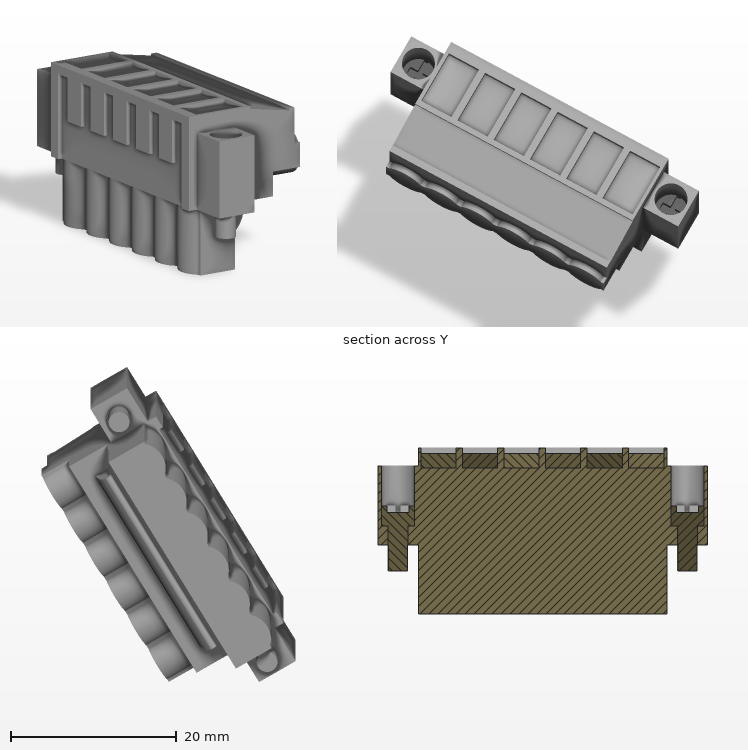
import cadquery as cq


poles = 6
pole_pitch = 4.98
total_length = 39.8
body_length = 30.1
half_body = body_length / 2
body_height = 11.8
overlap = 0.4

ridge_y = 8.9
slope_top_z = 11.45
slope_end_y = 14.5
slope_end_z = 10.43
lip_top_z = 10.65
rear_wall_y = 15.32
entry_rear_y = 16.1
entry_top_z = 6.2
entry_bottom_z = 3.1
entry_front_y = 12.2

bulge_width = 4.4
entry_bulge_rise = 1.2
socket_bulge_rise = 0.95

plug_height = 8.3
plug_front_y = 1.67
plug_rear_y = 6.7
rib_rise = 0.1
rib_height = 1.9

latch_length = (poles - 1) * pole_pitch
latch_root_front_y = 8.08
latch_root_rear_y = 10.2
latch_neck_y = 8.48
latch_neck_top_z = -1.2
latch_neck_bottom_z = -2.85
latch_back_bend = (9.6, -2.4)
latch_back_middle = (9.27, -3.3)
latch_tip_rear = (8.65, -4.18)
latch_tip_middle = (8.08, -4.1)
latch_tip_front = (7.95, -3.42)
latch_fillet_middle = (8.35, -0.65)

comb_depth = 0.5
comb_low_top_z = 5.17
comb_slot_top_z = 10.65
comb_slot_width = 2.05

pocket_pitch = 5.0
pocket_shift = -0.05
pocket_length_x = 4.18
pocket_front_y = 1.4
pocket_length_y = 6.85
pocket_depth = 2.4
button_sink = 0.68

flange_length = (total_length - body_length) / 2
flange_front_y = 1.2
flange_width = 5.15
flange_height = 9.65
flange_x = half_body + flange_length / 2
flange_y = flange_front_y + flange_width / 2

head_diameter = 3.98
head_height = 2.4
head_seat_z = 2.4
shank_diameter = 2.5
shank_reach = 3.15
drive_depth = 0.8
drive_long_width = 0.6
drive_short_width = 0.85
drive_short_diameter = 2.75


def row(pitch, shift=0.0):
    """X positions of one feature per pole, spread about the middle."""
    return [shift + (i - (poles - 1) / 2) * pitch for i in range(poles)]


def box(x_range, y_range, z_range):
    """Box between the given limits."""
    sizes = [high - low for low, high in (x_range, y_range, z_range)]
    corner = (x_range[0], y_range[0], z_range[0])
    return cq.Workplane("XY").box(*sizes, centered=False).translate(corner)


def centered_box(x, width, y_range, z_range):
    """Box of the given width in X, centred on x."""
    return box((x - width / 2, x + width / 2), y_range, z_range)


def bulge(plane, x, base, rise, length):
    """Bar with a circular-segment section whose chord lies at base; a negative rise bulges down."""
    half = bulge_width / 2
    return (
        cq.Workplane(plane)
        .moveTo(x - half, base)
        .threePointArc((x, base + rise), (x + half, base))
        .close()
        .extrude(length)
    )


def make_shell():
    """Main stepped profile, run along the whole row of poles."""
    return (
        cq.Workplane("YZ", origin=(-half_body, 0, 0))
        .polyline([
            (0, 0),
            (0, body_height),
            (ridge_y, body_height),
            (ridge_y, slope_top_z),
            (slope_end_y, slope_end_z),
            (slope_end_y, lip_top_z),
            (rear_wall_y, lip_top_z),
            (rear_wall_y, entry_top_z),
            (entry_rear_y, entry_top_z),
            (entry_rear_y, entry_bottom_z),
            (entry_front_y, entry_bottom_z),
            (entry_front_y, 0),
        ])
        .close()
        .extrude(body_length)
    )


def add_wire_entries(body):
    """Rounded tops and undersides of the wire entries at the rear."""
    rear = cq.Plane(origin=(0, entry_rear_y, 0), xDir=(1, 0, 0), normal=(0, -1, 0))
    top_length = entry_rear_y - rear_wall_y
    bottom_length = entry_rear_y - entry_front_y
    for x in row(pole_pitch):
        body = body.union(bulge(rear, x, entry_top_z, entry_bulge_rise, top_length))
        body = body.union(bulge(rear, x, entry_bottom_z, -entry_bulge_rise, bottom_length))
    return body


def add_plug_block(body):
    """Block under the housing with a rounded socket front per pole and a shallow rear rib."""
    across = (-half_body, half_body)
    block = box(across, (plug_front_y, plug_rear_y), (-plug_height, overlap))
    rib = box(across, (plug_front_y, plug_rear_y + rib_rise), (-rib_height, overlap))
    body = body.union(block).union(rib)
    underside = cq.Plane(origin=(0, 0, -plug_height), xDir=(1, 0, 0), normal=(0, 0, 1))
    for x in row(pole_pitch):
        body = body.union(bulge(underside, x, plug_front_y, -socket_bulge_rise, plug_height))
    return body


def add_latch(body):
    """Hooked latch strip hanging from the underside between the outer pole centres."""
    latch = (
        cq.Workplane("YZ", origin=(-latch_length / 2, 0, 0))
        .moveTo(latch_root_front_y, overlap)
        .lineTo(latch_root_rear_y, overlap)
        .lineTo(latch_root_rear_y, 0)
        .lineTo(*latch_back_bend)
        .threePointArc(latch_back_middle, latch_tip_rear)
        .threePointArc(latch_tip_middle, latch_tip_front)
        .lineTo(latch_neck_y, latch_neck_bottom_z)
        .lineTo(latch_neck_y, latch_neck_top_z)
        .threePointArc(latch_fillet_middle, (latch_root_front_y, 0))
        .close()
        .extrude(latch_length)
    )
    return body.union(latch)


def cut_comb(body):
    """Recess low across the front face, with one slot per pole rising from it."""
    depth = (0, comb_depth)
    comb_width = (poles - 1) * pole_pitch + comb_slot_width
    body = body.cut(centered_box(0, comb_width, depth, (0, comb_low_top_z)))
    for x in row(pole_pitch):
        body = body.cut(centered_box(x, comb_slot_width, depth, (0, comb_slot_top_z)))
    return body


def button_block(x, top_z):
    """Block from the floor of a button pocket up to top_z."""
    return centered_box(
        x,
        pocket_length_x,
        (pocket_front_y, pocket_front_y + pocket_length_y),
        (body_height - pocket_depth, top_z),
    )


def cut_pockets(body):
    """One button pocket per pole in the top face."""
    for x in row(pocket_pitch, pocket_shift):
        body = body.cut(button_block(x, body_height))
    return body


def upright_cylinder(x, diameter, bottom_z, top_z):
    """Cylinder on the axis of the screw at x."""
    return (
        cq.Workplane("XY", origin=(x, flange_y, bottom_z))
        .circle(diameter / 2)
        .extrude(top_z - bottom_z)
    )


def add_flange(body, x):
    """Screw flange with a stepped hole for the head and the shank."""
    flange = centered_box(
        x,
        flange_length,
        (flange_front_y, flange_front_y + flange_width),
        (0, flange_height),
    )
    flange = flange.cut(upright_cylinder(x, head_diameter, head_seat_z, flange_height))
    flange = flange.cut(upright_cylinder(x, shank_diameter, 0, head_seat_z))
    return body.union(flange)


def make_housing():
    """Complete housing."""
    body = make_shell()
    body = add_wire_entries(body)
    body = add_latch(body)
    body = cut_comb(body)
    body = add_plug_block(body)
    body = cut_pockets(body)
    for x in (-flange_x, flange_x):
        body = add_flange(body, x)
    return body


def make_button(x):
    """Push button that fills its pocket up to a little below the top face."""
    return button_block(x, body_height - button_sink)


def make_screw(x):
    """Screw with a cylindrical cross-slotted head and a plain shank."""
    head_top_z = head_seat_z + head_height
    drive_floor_z = head_top_z - drive_depth
    head_y_range = (flange_y - head_diameter / 2, flange_y + head_diameter / 2)
    short_y_range = (flange_y - drive_short_width / 2, flange_y + drive_short_width / 2)
    drive_z_range = (drive_floor_z, head_top_z)

    head = upright_cylinder(x, head_diameter, head_seat_z, head_top_z)
    shank = upright_cylinder(x, shank_diameter, -shank_reach, head_seat_z)
    long_slot = centered_box(x, drive_long_width, head_y_range, drive_z_range)
    short_slot = centered_box(x, drive_short_diameter, short_y_range, drive_z_range).intersect(
        upright_cylinder(x, drive_short_diameter, drive_floor_z, head_top_z)
    )
    return head.union(shank).cut(long_slot).cut(short_slot)


housing = make_housing()
buttons = [make_button(x) for x in row(pocket_pitch, pocket_shift)]
screws = [make_screw(x) for x in (-flange_x, flange_x)]

result = cq.Compound.makeCompound([
    housing.val(),
    *[button.val() for button in buttons],
    *[screw.val() for screw in screws],
])